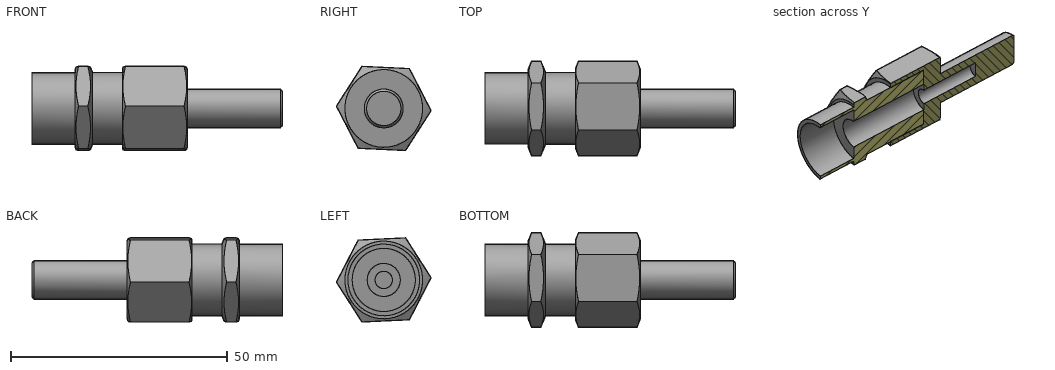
import cadquery as cq
import math

TOTAL_LENGTH = 58.0
COLLAR_START = 10.0
COLLAR_END = 14.0
NUT_START = 21.0
NUT_END = 36.0

HEX_ACROSS_FLATS = 19.0
HEX_TILT = -2.7
HEX_CHAMFER_ANGLE = 22.5
HEX_FACE_DIAMETER = 18.0
COLLAR_BACK_FACE_DIAMETER = 17.0
NUT_FRONT_FACE_DIAMETER = 18.8
CONE_MARGIN = 0.6

SLEEVE_DIAMETER = 16.6
SLEEVE_SEAT_DIAMETER = 16.65
SLEEVE_BORE_DIAMETER = 14.6
SLEEVE_BORE_DEPTH = 10.0
SLEEVE_PASSAGE_DIAMETER = 7.65
SLEEVE_INSERTION = 10.0

STEM_DIAMETER = 9.0
STEM_CHAMFER = 0.5
STEM_HOLE_DIAMETER = 4.0
STEM_HOLE_END = 46.4

hex_corner_radius = HEX_ACROSS_FLATS / math.sqrt(3)
chamfer_slope = math.tan(math.radians(HEX_CHAMFER_ANGLE))
sleeve_end = NUT_START + SLEEVE_INSERTION


def cylinder(diameter, start, end):
    """Cylinder on the X axis between two X positions."""
    return cq.Workplane("YZ", origin=(start, 0, 0)).circle(diameter / 2).extrude(end - start)


def chamfered_hexagon(start, end, start_face_diameter, end_face_diameter):
    """Hexagonal prism along X, its corners turned down to a cone at each end."""
    prism = (
        cq.Workplane("YZ", origin=(start, 0, 0))
        .polygon(6, 2 * hex_corner_radius)
        .extrude(end - start)
        .rotate((0, 0, 0), (1, 0, 0), HEX_TILT)
    )
    start_radius = start_face_diameter / 2
    end_radius = end_face_diameter / 2
    outer_radius = hex_corner_radius + CONE_MARGIN
    cone_envelope = (
        cq.Workplane("XY")
        .moveTo(start, 0)
        .lineTo(start, start_radius)
        .lineTo(start + (outer_radius - start_radius) * chamfer_slope, outer_radius)
        .lineTo(end - (outer_radius - end_radius) * chamfer_slope, outer_radius)
        .lineTo(end, end_radius)
        .lineTo(end, 0)
        .close()
        .revolve(360, (0, 0, 0), (1, 0, 0))
    )
    return prism.intersect(cone_envelope)


def make_sleeve():
    """Stepped tube with a hexagonal collar; the length beyond the collar reaches into the nut."""
    tube = cylinder(SLEEVE_DIAMETER, 0, COLLAR_START)
    seat = cylinder(SLEEVE_SEAT_DIAMETER, COLLAR_END, sleeve_end)
    collar = chamfered_hexagon(COLLAR_START, COLLAR_END, HEX_FACE_DIAMETER, COLLAR_BACK_FACE_DIAMETER)
    bore = cylinder(SLEEVE_BORE_DIAMETER, 0, SLEEVE_BORE_DEPTH)
    passage = cylinder(SLEEVE_PASSAGE_DIAMETER, SLEEVE_BORE_DEPTH, sleeve_end)
    return tube.union(collar).union(seat).cut(bore).cut(passage)


def make_nut():
    """Hexagonal nut with a round stem, a recess for the sleeve and a narrow blind hole."""
    head = chamfered_hexagon(NUT_START, NUT_END, NUT_FRONT_FACE_DIAMETER, HEX_FACE_DIAMETER)
    stem = cylinder(STEM_DIAMETER, NUT_END, TOTAL_LENGTH).faces(">X").chamfer(STEM_CHAMFER)
    sleeve_recess = cylinder(SLEEVE_SEAT_DIAMETER, NUT_START, sleeve_end)
    stem_hole = cylinder(STEM_HOLE_DIAMETER, sleeve_end, STEM_HOLE_END)
    return head.union(stem).cut(sleeve_recess).cut(stem_hole)


sleeve = make_sleeve()
nut = make_nut()

result = cq.Compound.makeCompound([sleeve.val(), nut.val()])